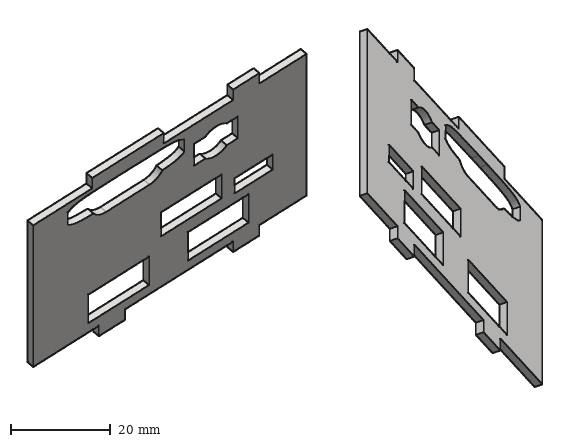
import cadquery as cq

THICKNESS = 1.8
LENGTH = 72.5
OVERALL_HEIGHT = 47.58
TAB_HEIGHT = 3.04
PLATE_HEIGHT = OVERALL_HEIGHT - 2 * TAB_HEIGHT

TAB_WIDTH = 7.0
WIDE_TAB_WIDTH = 19.0
NEAR_TAB_OFFSET = 12.5
FAR_TAB_OFFSET = 48.1
WIDE_TAB_OFFSET = 37.85

SOCKET_WIDTH = 16.05
SOCKET_HEIGHT = 8.3
SOCKET_DROP = 30.45
NEAR_SOCKET_OFFSET = 15.4
FAR_SOCKET_OFFSET = 41.8
MIDDLE_WINDOW_OFFSET = 22.55
MIDDLE_WINDOW_DROP = 19.7
MIDDLE_WINDOW_HEIGHT = 7.0
SMALL_WINDOW_OFFSET = 9.0
SMALL_WINDOW_DROP = 23.25
SMALL_WINDOW_WIDTH = 10.1
SMALL_WINDOW_HEIGHT = 4.4

ROUND_OFFSET = 24.0
ROUND_DROP = 8.9
ROUND_DIAMETER = 8.5
ROUND_WINGS_WIDTH = 11.6
ROUND_WINGS_HEIGHT = 6.35

WIDE_OFFSET = 47.85
WIDE_DROP = 4.42
WIDE_LENGTH = 30.9
WIDE_HEIGHT = 6.5
WIDE_END_HEIGHT = 3.4
WIDE_FLAT_LENGTH = 3.5
SWEEP_HANDLE = 9.0
LOBE_OFFSET = 47.4
LOBE_WIDTH = 19.5
LOBE_BOTTOM_DROP = 9.45
LOBE_RADIUS = 4.0

PLATE_END = LENGTH / 2
PLATE_TOP = PLATE_HEIGHT / 2


def block(offset, drop, width, height):
    """Full-thickness block placed from the +Y end and the top edge of the plate."""
    center_y = PLATE_END - offset - width / 2
    center_z = PLATE_TOP - drop - height / 2
    return cq.Workplane("XY").box(THICKNESS, width, height).translate((0, center_y, center_z))


def profile_at(offset, drop):
    """YZ workplane on the -X face, with its origin at the given place on the plate."""
    origin = (-THICKNESS / 2, PLATE_END - offset, PLATE_TOP - drop)
    return cq.Workplane("YZ", origin=origin)


def plate_with_tabs():
    plate = block(0, 0, LENGTH, PLATE_HEIGHT)
    plate = plate.union(block(NEAR_TAB_OFFSET, -TAB_HEIGHT, TAB_WIDTH, TAB_HEIGHT))
    plate = plate.union(block(WIDE_TAB_OFFSET, -TAB_HEIGHT, WIDE_TAB_WIDTH, TAB_HEIGHT))
    for offset in (NEAR_TAB_OFFSET, FAR_TAB_OFFSET):
        plate = plate.union(block(offset, PLATE_HEIGHT, TAB_WIDTH, TAB_HEIGHT))
    return plate


def rectangular_windows():
    windows = block(SMALL_WINDOW_OFFSET, SMALL_WINDOW_DROP, SMALL_WINDOW_WIDTH, SMALL_WINDOW_HEIGHT)
    windows = windows.union(
        block(MIDDLE_WINDOW_OFFSET, MIDDLE_WINDOW_DROP, SOCKET_WIDTH, MIDDLE_WINDOW_HEIGHT)
    )
    for offset in (NEAR_SOCKET_OFFSET, FAR_SOCKET_OFFSET):
        windows = windows.union(block(offset, SOCKET_DROP, SOCKET_WIDTH, SOCKET_HEIGHT))
    return windows


def round_opening():
    profile = profile_at(ROUND_OFFSET, ROUND_DROP)
    circle = profile.circle(ROUND_DIAMETER / 2).extrude(THICKNESS)
    wings = profile.rect(ROUND_WINGS_WIDTH, ROUND_WINGS_HEIGHT).extrude(THICKNESS)
    return circle.union(wings)


def swept_opening():
    """Long opening whose corners sweep from the flat edges to 45 degrees at the ends."""
    end = WIDE_LENGTH / 2
    top = WIDE_HEIGHT / 2
    end_top = WIDE_END_HEIGHT / 2
    flat = WIDE_FLAT_LENGTH / 2
    handle = flat + SWEEP_HANDLE
    knee = end - (top - end_top)
    return (
        profile_at(WIDE_OFFSET, WIDE_DROP)
        .moveTo(-flat, top)
        .lineTo(flat, top)
        .bezier([(flat, top), (handle, top), (knee, top), (end, end_top)])
        .lineTo(end, -end_top)
        .bezier([(end, -end_top), (knee, -top), (handle, -top), (flat, -top)])
        .lineTo(-flat, -top)
        .bezier([(-flat, -top), (-handle, -top), (-knee, -top), (-end, -end_top)])
        .lineTo(-end, end_top)
        .bezier([(-end, end_top), (-knee, top), (-handle, top), (-flat, top)])
        .close()
        .extrude(THICKNESS)
    )


def lobe_opening():
    """Round-cornered lobe reaching from the middle of the long opening to below it."""
    height = LOBE_BOTTOM_DROP - WIDE_DROP
    lobe = block(LOBE_OFFSET - LOBE_WIDTH / 2, WIDE_DROP, LOBE_WIDTH, height)
    return lobe.edges("|X and <Z").fillet(LOBE_RADIUS)


result = plate_with_tabs()
result = result.cut(rectangular_windows())
result = result.cut(round_opening())
result = result.cut(swept_opening().union(lobe_opening()))